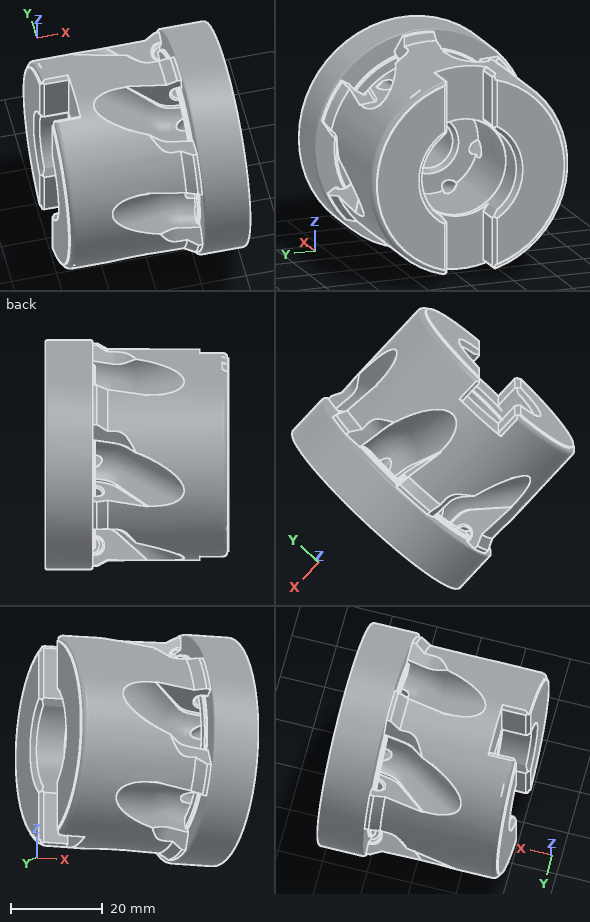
import cadquery as cq
import math

length = 40.0
flange_dia = 49.95
flange_start = 29.65
flange_round = 0.5
lip_start = 29.1
lip_inner_dia = 36.0
lip_dia = 41.0
lip_chamfer = 0.3
body_dia = 46.0
collar_dia = 48.55
collar_cone_start = 26.4
collar_cone_end = 28.75
nose_land = 0.3
nose_round = 1.2

bore_dia = 22.0
bore_chamfer = 1.1
bore_depth = 24.5
relief_dia = 22.3
relief_start = 7.5
relief_cone_end = 7.85
relief_end = 15.0
seat_bore_dia = 22.15
seat_bore_start = 15.85
screw_hole_dia = 11.0
screw_hole_chamfer = 1.0

slot_width = 10.55
slot_depth = 6.3
slot_chamfer = 0.85
slot_bore_chamfer = 1.15

wall_angles = [21.6, 84.0, 141.0, 204.6, 262.2, 324.4]
radial_tilt = 8.5
axial_rake = 10.0
seat_floor = 16.0
seat_slope = 41.5
seat_bend_radius = 4.5
seat_corner_x = 25.4
seat_width = 22.5
wall_offset = -3.6
flute_dia = 11.0
flute_bottom = 13.0
flute_side = 3.5
flute_slope = 34.5
flute_bend_radius = 3.65
flute_corner_x = 25.7
flute_to_wall = 5.6
cut_start_x = 42.45
cut_reach = 35.0

clamp_hole_dia = 3.5
clamp_sink_dia = 4.2
clamp_sink_depth = 0.35
clamp_hole_depth = 4.0
clamp_hole_x = 29.15
clamp_hole_height = 19.7
coolant_dia = 3.0
coolant_start_radius = 11.0
coolant_start_lag = 30.2
coolant_exit_radius = 13.75
coolant_exit_lag = 21.8
coolant_exit_x = 28.25
coolant_run_in = 3.0
coolant_run_out = 4.5


def make_body():
    """Cutter body without the outer ring; the nose is rounded behind a short land."""
    body_radius = body_dia / 2
    nose_radius = body_radius - nose_round
    round_end = nose_land + nose_round
    diagonal = nose_round * math.sqrt(0.5)
    outline = (
        cq.Workplane("XY")
        .lineTo(0, nose_radius)
        .lineTo(nose_land, nose_radius)
        .threePointArc((round_end - diagonal, nose_radius + diagonal), (round_end, body_radius))
        .lineTo(collar_cone_start, body_radius)
        .lineTo(collar_cone_end, collar_dia / 2)
        .lineTo(length, collar_dia / 2)
        .lineTo(length, 0)
        .close()
    )
    return outline.revolve(360, (0, 0, 0), (1, 0, 0))


def make_ring():
    """Outer ring that bridges the pockets, with a lip at its front."""
    flange = cq.Workplane("YZ", origin=(flange_start, 0, 0)).circle(flange_dia / 2)
    flange = flange.extrude(length - flange_start).edges().fillet(flange_round)
    lip = cq.Workplane("YZ", origin=(lip_start, 0, 0)).circle(lip_dia / 2)
    lip = lip.extrude(flange_start - lip_start)
    lip = lip.faces("<X").edges().chamfer(lip_chamfer)
    opening = cq.Workplane("YZ").circle(lip_inner_dia / 2).extrude(length)
    return flange.union(lip).cut(opening)


def make_bore():
    """Stepped bore from the front, narrowing to the screw hole, which runs out at the back."""
    screw_radius = screw_hole_dia / 2
    outline = cq.Workplane("XY").polyline([
        (0, 0),
        (0, bore_dia / 2 + bore_chamfer),
        (bore_chamfer, bore_dia / 2),
        (relief_start, bore_dia / 2),
        (relief_cone_end, relief_dia / 2),
        (relief_end, relief_dia / 2),
        (seat_bore_start, seat_bore_dia / 2),
        (bore_depth, seat_bore_dia / 2),
        (bore_depth, screw_radius + screw_hole_chamfer),
        (bore_depth + screw_hole_chamfer, screw_radius),
        (length, screw_radius),
        (length, 0),
    ])
    return outline.close().revolve(360, (0, 0, 0), (1, 0, 0))


def bent_path(corner_x, height, slope, radius):
    """Line, tangent arc and line: level from the flange, then rising at slope towards -X."""
    slope = math.radians(slope)
    tangent = radius * math.tan(slope / 2)
    rise = (-math.cos(slope), math.sin(slope))
    level_end = (corner_x + tangent, height)
    half = slope / 2
    arc_mid = (level_end[0] - radius * math.sin(half), height + radius * (1 - math.cos(half)))
    rise_start = (corner_x + tangent * rise[0], height + tangent * rise[1])
    rise_end = (corner_x + cut_reach * rise[0], height + cut_reach * rise[1])
    start = cq.Workplane("XZ").moveTo(cut_start_x, height).lineTo(*level_end)
    return start.threePointArc(arc_mid, rise_start).lineTo(*rise_end)


def make_seat_cut():
    """Flat floor facing +Z, with a wall on its +Y side."""
    top = seat_floor + cut_reach
    floor_line = bent_path(seat_corner_x, seat_floor, seat_slope, seat_bend_radius)
    return floor_line.lineTo(cut_start_x, top).close().extrude(seat_width)


def make_flute_cut():
    """Round-bottomed chip flute running out on a slope."""
    height = flute_bottom + flute_dia / 2
    path = bent_path(flute_corner_x, height, flute_slope, flute_bend_radius)
    radius = flute_dia / 2
    section = (
        cq.Workplane("YZ", origin=(cut_start_x, 0, height))
        .moveTo(-radius, flute_side)
        .lineTo(-radius, 0)
        .threePointArc((0, -radius), (radius, 0))
        .lineTo(radius, flute_side)
        .close()
    )
    return section.sweep(path).translate((0, -flute_to_wall, 0))


def make_clamp_hole():
    """Countersunk blind hole into the pocket wall, along +Y."""
    plane = cq.Plane(origin=(clamp_hole_x, 0, clamp_hole_height), xDir=(1, 0, 0), normal=(0, 1, 0))
    hole = cq.Workplane(plane).circle(clamp_hole_dia / 2).extrude(clamp_hole_depth)
    sink = cq.Workplane(plane).circle(clamp_sink_dia / 2)
    sink = sink.workplane(offset=clamp_sink_depth).circle(clamp_hole_dia / 2).loft(ruled=True)
    return hole.union(sink)


def place_pocket_cut(cut, wall_angle):
    """Tilt a cut by the axial rake and turn it to its pocket."""
    raked = cut.rotate((flange_start, 0, 0), (flange_start, 0, 1), -axial_rake)
    shifted = raked.translate((0, wall_offset, 0))
    return shifted.rotate((0, 0, 0), (1, 0, 0), 90 - wall_angle - radial_tilt)


def polar_point(x, radius, angle):
    """Point at an angle from -Y towards +Z."""
    angle = math.radians(angle)
    return cq.Vector(x, -radius * math.cos(angle), radius * math.sin(angle))


def make_coolant_hole(wall_angle):
    start = polar_point(bore_depth, coolant_start_radius, wall_angle - coolant_start_lag)
    end = polar_point(coolant_exit_x, coolant_exit_radius, wall_angle - coolant_exit_lag)
    axis = (end - start).normalized()
    origin = start - axis * coolant_run_in
    reach = (end - origin).Length + coolant_run_out
    return cq.Workplane(cq.Plane(origin=origin, normal=axis)).circle(coolant_dia / 2).extrude(reach)


def make_slot():
    """Drive slot with chamfers along the front edges of its walls."""
    slot = cq.Workplane("XY").box(2 * slot_depth, slot_width, flange_dia)
    mouth_half = slot_width / 2 + slot_chamfer
    front = (
        cq.Workplane("XY")
        .polyline([
            (0, mouth_half),
            (slot_chamfer, slot_width / 2),
            (slot_chamfer, -slot_width / 2),
            (0, -mouth_half),
        ])
        .close()
        .extrude(flange_dia / 2, both=True)
    )
    return slot.union(front)


def make_slot_corner_cut(radius, width, outward):
    """Chamfers where the slot walls meet the outside (outward 1) or the bore (outward -1)."""
    half = slot_width / 2
    wall_z = math.sqrt(radius ** 2 - half ** 2)
    round_z = math.sqrt(radius ** 2 - (half + width) ** 2)
    corner = (
        cq.Workplane("YZ")
        .polyline([
            (half, wall_z - outward * slot_chamfer),
            (half + width, round_z),
            (half + width, round_z + outward * slot_chamfer),
            (half, wall_z + outward * slot_chamfer),
        ])
        .close()
        .extrude(slot_depth)
    )
    side = corner.union(corner.mirror("XZ"))
    return side.union(side.mirror("XY"))


pocket_cut = make_seat_cut().union(make_flute_cut()).union(make_clamp_hole())
body = make_body()
for wall_angle in wall_angles:
    body = body.cut(place_pocket_cut(pocket_cut, wall_angle))
    body = body.cut(make_coolant_hole(wall_angle))

result = body.union(make_ring()).cut(make_bore()).cut(make_slot())
result = result.cut(make_slot_corner_cut(body_dia / 2, slot_chamfer, 1))
result = result.cut(make_slot_corner_cut(bore_dia / 2, slot_bore_chamfer, -1))